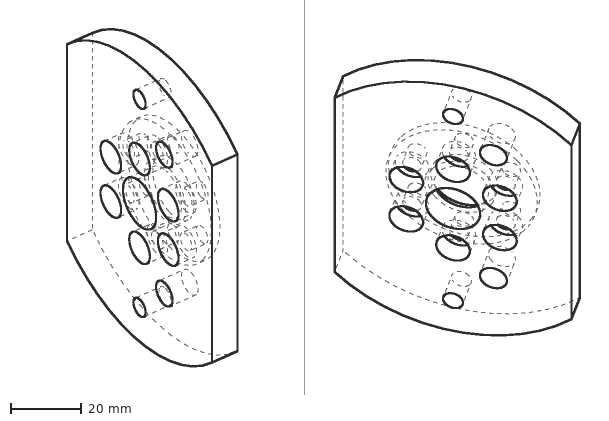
import cadquery as cq
import math

disc_diameter = 99.6
width_across_flats = 70.0
plate_thickness = 9.0

boss_diameter = 44.8
boss_height = 3.0
total_depth = plate_thickness + boss_height

bore_diameter = 16.0
recess_diameter = 19.9
recess_depth = 3.0
bolt_count = 6
bolt_circle_diameter = 32.0
bolt_hole_diameter = 5.6
counterbore_diameter = 10.0
counterbore_depth = 6.3
outer_hole_diameter = 5.9
outer_hole_offset = 37.5
side_hole_diameter = 8.0
side_hole_x = 12.0
side_hole_z = 25.0


def cylinder(diameter, depth, start_y=0.0):
    """Cylinder along +Y, centred on the part axis."""
    front = cq.Workplane("XZ", origin=(0, start_y, 0))
    return front.circle(diameter / 2).extrude(-depth)


def hole_cutters(points, diameter, depth):
    """Cylinders running back from the front face at (x, z) points."""
    return cq.Workplane("XZ").pushPoints(points).circle(diameter / 2).extrude(-depth)


flats = cq.Workplane("XZ").rect(width_across_flats, disc_diameter).extrude(-plate_thickness)
plate = cylinder(disc_diameter, plate_thickness).intersect(flats)
body = plate.union(cylinder(boss_diameter, boss_height, plate_thickness))

body = body.cut(cylinder(bore_diameter, total_depth))
body = body.cut(cylinder(recess_diameter, recess_depth, total_depth - recess_depth))

bolt_circle_radius = bolt_circle_diameter / 2
bolt_angles = [math.radians(90 + 360 * i / bolt_count) for i in range(bolt_count)]
bolt_centres = [
    (bolt_circle_radius * math.cos(angle), bolt_circle_radius * math.sin(angle))
    for angle in bolt_angles
]
body = body.cut(hole_cutters(bolt_centres, bolt_hole_diameter, total_depth))
body = body.cut(hole_cutters(bolt_centres, counterbore_diameter, counterbore_depth))

outer_centres = [(0, side * outer_hole_offset) for side in (-1, 1)]
body = body.cut(hole_cutters(outer_centres, outer_hole_diameter, total_depth))
side_centres = [(side_hole_x, side * side_hole_z) for side in (-1, 1)]
body = body.cut(hole_cutters(side_centres, side_hole_diameter, total_depth))

result = body